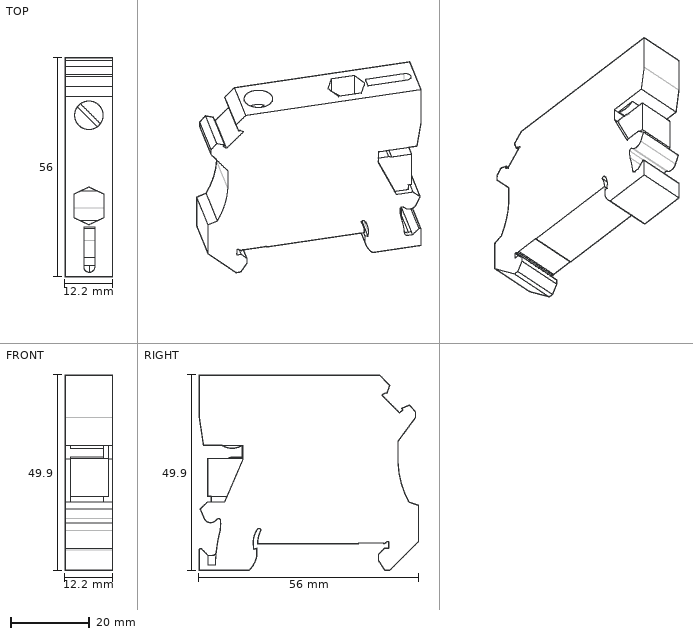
import cadquery as cq
import math


width = 12.15
length = 56.0
height = 49.85
mid_x = width / 2

window_y = 11.2
window_top_z = 31.9
window_sill_z = 28.4
ledge_y = 6.5
ledge_z = 17.5
lip_y = 2.1

bed_z = 6.8
bed_step = 0.15
bed_step_y = 40.65
foot_top_z = 5.65

trough_front_y = 2.25
trough_back_y = 4.3
trough_z = 3.85
trough_blend = 0.85
recess_z = 1.35
recess_back_y = 4.15
web_thickness = 1.35

holder_y = 55.2
waist_y = 50.8

clamp_x = web_thickness
clamp_width = 9.7
clamp_y = lip_y
clamp_bottom_z = 18.9
clamp_top_z = 28.6
plate_width = 8.5
plate_foot_y = 3.0
plate_rise = 0.3
plate_ramp_y = 7.4
plate_ramp_length = 0.8
spur_y = 10.9
saddle_y = 8.4
saddle_chord = 5.15
saddle_drop = 0.8

screw_y = 41.3
screw_diameter = 7.3
screw_depth = 4.55
slit_width = 1.1
slit_depth = 0.85
slit_angle = -45

funnel_y = 18.15
funnel_width = 7.6
funnel_length = 9.65
funnel_shoulder = 6.05
shelf_depth = 3.35
shelf_y = 21.9
funnel_bend_y = 17.6
funnel_floor_y = 14.4
upper_ramp_angle = 40
lower_ramp_angle = 50

slot_offset = 0.1
slot_x = mid_x + slot_offset
slot_width = 2.8
slot_near_y = 1.2
slot_far_y = 12.75
slot_depth = 3.35
slot_pit_y = 2.95
slot_ramp_y = 5.0
slot_bend_y = 9.3
slot_floor_y = 12.4
near_ramp_angle = 35
far_ramp_angle = 21
pit_drop = 0.35
pit_slope_angle = 20


def drop(run, angle):
    """Height lost along a ramp of the given horizontal run."""
    return run * math.tan(math.radians(angle))


def prism(points, x_start, x_width):
    """Closed (Y, Z) outline extruded along X."""
    return cq.Workplane("YZ", origin=(x_start, 0, 0)).polyline(points).close().extrude(x_width)


def box(x_start, x_end, y_start, y_end, z_start, z_end):
    size = (x_end - x_start, y_end - y_start, z_end - z_start)
    return cq.Workplane().box(*size, centered=False).translate((x_start, y_start, z_start))


def housing():
    outline = cq.Workplane("YZ").moveTo(0, height)
    for point in [
        (0, 39.1), (1.05, window_top_z), (window_y, window_top_z), (window_y, window_sill_z),
        (ledge_y, ledge_z), (lip_y, ledge_z), (0.2, 15.7), (1.3, 13.2),
    ]:
        outline = outline.lineTo(*point)
    outline = (
        outline.threePointArc((2.9, 12.15), (4.1, 12.6))
        .lineTo(4.6, 13.05)
        .threePointArc((5.15, 13.15), (5.45, 12.7))
        .threePointArc((5.45, 11.5), (5.3, 10.2))
        .threePointArc((4.6, 6.7), (recess_back_y, recess_z))
        .lineTo(trough_front_y, recess_z)
        .lineTo(trough_front_y, trough_z)
        .lineTo(0.55, 5.55)
        .threePointArc((0.2, 5.55), (0, 5.15))
        .lineTo(0, 0)
    )
    outline = (
        outline.lineTo(12.75, 0)
        .threePointArc((14.05, 1.75), (14.7, 3.65))
        .lineTo(14.7, foot_top_z)
        .lineTo(13.95, 5.45)
        .lineTo(13.85, 6.7)
        .threePointArc((14.05, 8.75), (14.8, 10.35))
        .threePointArc((15.3, 10.7), (15.75, 10.3))
        .threePointArc((15.1, 8.6), (14.9, bed_z))
    )
    for point in [
        (bed_step_y, bed_z), (bed_step_y, bed_z + bed_step), (46.9, bed_z + bed_step),
        (47.2, bed_z), (48.05, 7.35), (48.4, 7.35), (48.4, foot_top_z), (47.25, foot_top_z),
    ]:
        outline = outline.lineTo(*point)
    for point in [
        (45.75, 4.1), (45.75, 2.5), (47.4, 0), (48.6, 0), (length, 7.4), (length, 16.65), (53.55, 17.5),
    ]:
        outline = outline.lineTo(*point)
    outline = outline.threePointArc((51.65, 22.2), (waist_y, 27.3))
    for point in [
        (waist_y, 33.0), (holder_y, 39.0), (holder_y, 40.5), (53.7, 42.2), (51.65, 41.4),
        (51.95, 40.95), (51.1, 40.25), (46.65, 44.75), (47.6, 45.3), (47.95, 45.2), (48.65, 47.2), (46.1, height),
    ]:
        outline = outline.lineTo(*point)
    return outline.close().extrude(width)


def trough_web():
    """Raised trough floor on the -X side, blended into the back wall by a quarter round."""
    blend_y = trough_back_y - trough_blend
    blend_z = trough_z + trough_blend
    half_chord = trough_blend * math.sqrt(0.5)
    return (
        cq.Workplane("YZ")
        .moveTo(trough_front_y, recess_z)
        .lineTo(trough_front_y, trough_z)
        .lineTo(blend_y, trough_z)
        .threePointArc((blend_y + half_chord, blend_z - half_chord), (trough_back_y, blend_z))
        .lineTo(trough_back_y + trough_blend, blend_z)
        .lineTo(trough_back_y + trough_blend, recess_z)
        .close()
        .extrude(web_thickness)
    )


def clamp():
    clamp_end_x = clamp_x + clamp_width
    plate_end_x = clamp_x + plate_width
    block = box(clamp_x, clamp_end_x, clamp_y, window_y, clamp_bottom_z, clamp_top_z)
    foot = box(clamp_x, plate_end_x, plate_foot_y, window_y, ledge_z, clamp_bottom_z)
    spur = box(plate_end_x, clamp_end_x, spur_y, window_y, clamp_top_z, window_top_z)
    plate = prism(
        [
            (window_y, clamp_top_z),
            (window_y, clamp_top_z + plate_rise),
            (plate_ramp_y + plate_ramp_length, clamp_top_z + plate_rise),
            (plate_ramp_y, clamp_top_z),
        ],
        clamp_x,
        plate_width,
    )
    saddle = (
        cq.Workplane("YZ", origin=(clamp_x, 0, 0))
        .moveTo(saddle_y - saddle_chord / 2, window_top_z)
        .threePointArc(
            (saddle_y, window_top_z - saddle_drop),
            (saddle_y + saddle_chord / 2, window_top_z),
        )
        .close()
        .extrude(plate_width)
    )
    return block.union(foot).union(spur).union(plate).union(saddle)


def screw_well():
    floor_z = height - screw_depth
    well = (
        cq.Workplane("XY", origin=(mid_x, screw_y, floor_z))
        .circle(screw_diameter / 2)
        .extrude(screw_depth)
    )
    slit = (
        cq.Workplane("XY", origin=(mid_x, screw_y, floor_z - slit_depth))
        .circle(screw_diameter / 2)
        .extrude(slit_depth)
        .intersect(
            cq.Workplane()
            .box(screw_diameter, slit_width, 2 * slit_depth)
            .rotate((0, 0, 0), (0, 0, 1), slit_angle)
            .translate((mid_x, screw_y, floor_z))
        )
    )
    return well.union(slit)


def funnel():
    near_y = funnel_y - funnel_length / 2
    far_y = funnel_y + funnel_length / 2
    shelf_z = height - shelf_depth
    bend_z = shelf_z - drop(shelf_y - funnel_bend_y, upper_ramp_angle)
    floor_z = bend_z - drop(funnel_bend_y - funnel_floor_y, lower_ramp_angle)
    profile = prism(
        [
            (far_y, height),
            (far_y, shelf_z),
            (shelf_y, shelf_z),
            (funnel_bend_y, bend_z),
            (funnel_floor_y, floor_z),
            (near_y, floor_z),
            (near_y, height),
        ],
        0,
        width,
    )
    half_width = funnel_width / 2
    half_shoulder = funnel_shoulder / 2
    mouth = (
        cq.Workplane("XY")
        .polyline(
            [
                (mid_x, far_y),
                (mid_x + half_width, funnel_y + half_shoulder),
                (mid_x + half_width, funnel_y - half_shoulder),
                (mid_x, near_y),
                (mid_x - half_width, funnel_y - half_shoulder),
                (mid_x - half_width, funnel_y + half_shoulder),
            ]
        )
        .close()
        .extrude(height)
    )
    return mouth.intersect(profile)


def probe_slot():
    radius = slot_width / 2
    top_z = height - slot_depth
    bend_z = top_z - drop(slot_bend_y - slot_ramp_y, near_ramp_angle)
    floor_z = bend_z - drop(slot_floor_y - slot_bend_y, far_ramp_angle)
    profile = prism(
        [
            (slot_pit_y, height),
            (slot_pit_y, top_z),
            (slot_ramp_y, top_z),
            (slot_bend_y, bend_z),
            (slot_floor_y, floor_z),
            (slot_far_y, floor_z),
            (slot_far_y, height),
        ],
        0,
        width,
    )
    pit_z = top_z - pit_drop
    pit = (
        cq.Workplane("XZ", origin=(slot_x, slot_pit_y, 0))
        .polyline(
            [
                (-radius, height),
                (-radius, pit_z - drop(radius, pit_slope_angle)),
                (0, pit_z),
                (radius, pit_z),
                (radius, height),
            ]
        )
        .close()
        .extrude(slot_pit_y - slot_near_y)
    )
    mouth = (
        cq.Workplane("XY")
        .moveTo(slot_x - radius, slot_far_y)
        .lineTo(slot_x - radius, slot_near_y + radius)
        .threePointArc((slot_x, slot_near_y), (slot_x + radius, slot_near_y + radius))
        .lineTo(slot_x + radius, slot_far_y)
        .close()
        .extrude(height)
    )
    return mouth.intersect(profile.union(pit))


result = housing().union(trough_web()).union(clamp())
for cavity in [screw_well(), funnel(), probe_slot()]:
    result = result.cut(cavity)